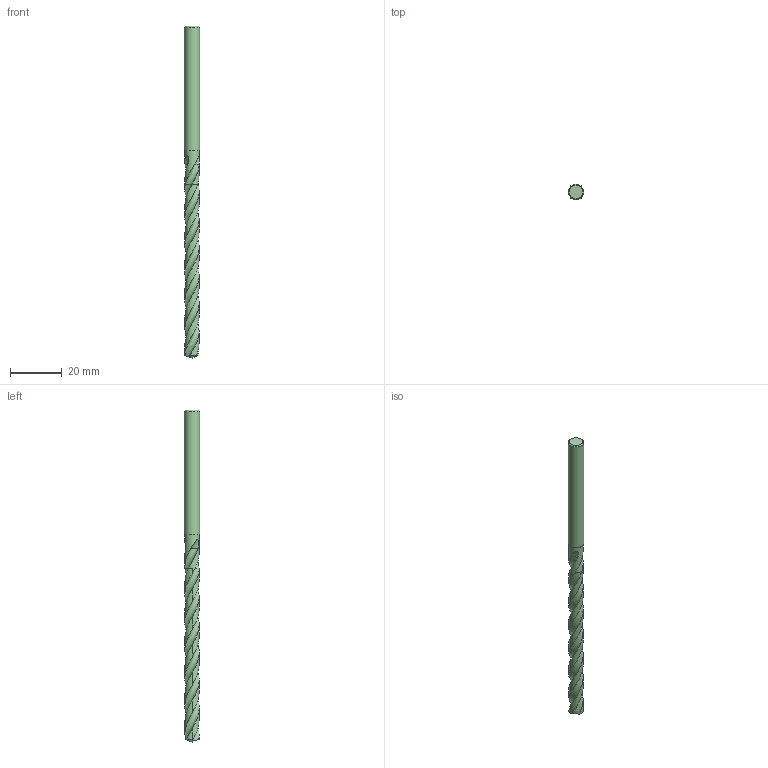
import cadquery as cq
import math

overall_length = 128.0
shank_length = 48.0
cutting_length = 67.0
flute_length = 74.6
runout_length = 5.0

shank_diameter = 6.0
shank_radius = shank_diameter / 2
shank_chamfer = 0.4

cutting_diameter = 5.5
cutting_radius = cutting_diameter / 2
point_angle = 140.0
point_height = cutting_radius / math.tan(math.radians(point_angle / 2))

flute_count = 3
flute_pitch_angle = 360.0 / flute_count
helix_lead = 32.2
helix_slope = math.pi * cutting_diameter / helix_lead
first_flute_angle = -31.0

flute_width_angle = 69.0
core_radius = 1.3
half_width = cutting_radius * math.sin(math.radians(flute_width_angle / 2))
groove_depth = cutting_radius * math.cos(math.radians(flute_width_angle / 2)) - core_radius
groove_radius = (half_width**2 + groove_depth**2) / (2 * groove_depth)
groove_center = core_radius + groove_radius

groove_overlap = 1.0
runout_tilt_outward = 16.5


def groove_direction(height):
    """Angle of the first flute's middle at a height."""
    return first_flute_angle + 360.0 * height / helix_lead


def turned(shape, angle):
    return shape.rotate((0, 0, 0), (0, 0, 1), angle)


def groove_section(height):
    """Half circle of the groove facing the axis, closed by straight sides outside the drill."""
    outside = groove_center + groove_radius
    return (
        cq.Workplane("XY", origin=(0, 0, height))
        .moveTo(groove_center, -groove_radius)
        .threePointArc((core_radius, 0), (groove_center, groove_radius))
        .lineTo(outside, groove_radius)
        .lineTo(outside, -groove_radius)
        .close()
    )


def helical_groove(bottom, top):
    height = top - bottom
    groove = groove_section(bottom).twistExtrude(height, 360.0 * height / helix_lead)
    return turned(groove, groove_direction(bottom))


def flute_runout():
    """Straight flute end that leans along the helix and away from the axis."""
    sideways = runout_length * helix_slope
    outward = runout_length * math.tan(math.radians(runout_tilt_outward))
    section = groove_section(flute_length).wire().val()
    runout = cq.Solid.extrudeLinear(section, [], cq.Vector(outward, sideways, runout_length))
    return turned(cq.Workplane(runout), groove_direction(flute_length))


def cut_at_each_flute(body, cutter):
    for index in range(flute_count):
        body = body.cut(turned(cutter, index * flute_pitch_angle))
    return body


def make_cutting_body():
    """Fluted cutting part with a conical point."""
    profile = (
        cq.Workplane("XZ")
        .moveTo(0, 0)
        .lineTo(cutting_radius, point_height)
        .lineTo(cutting_radius, cutting_length)
        .lineTo(0, cutting_length)
        .close()
    )
    blank = turned(profile.revolve(360, (0, 0), (0, 1)), 180)
    return cut_at_each_flute(blank, helical_groove(-groove_overlap, cutting_length + groove_overlap))


def make_shank_body():
    """Plain shank with a slightly thinner neck that carries the upper ends of the flutes."""
    shank_bottom = overall_length - shank_length
    profile = (
        cq.Workplane("XZ")
        .moveTo(0, cutting_length)
        .lineTo(cutting_radius, cutting_length)
        .lineTo(cutting_radius, shank_bottom)
        .lineTo(shank_radius, shank_bottom)
        .lineTo(shank_radius, overall_length - shank_chamfer)
        .lineTo(shank_radius - shank_chamfer, overall_length)
        .lineTo(0, overall_length)
        .close()
    )
    blank = turned(profile.revolve(360, (0, 0), (0, 1)), -90)
    fluted = cut_at_each_flute(blank, helical_groove(cutting_length - groove_overlap, flute_length))
    return cut_at_each_flute(fluted, flute_runout())


cutting_body = make_cutting_body()
shank_body = make_shank_body()

result = cq.Compound.makeCompound([cutting_body.solids().val(), shank_body.solids().val()])